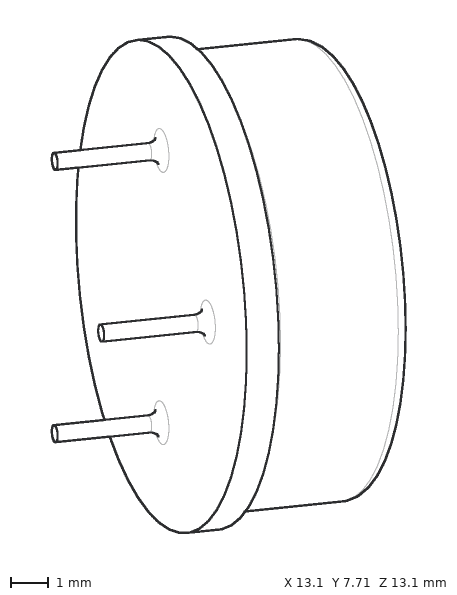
import cadquery as cq

flange_diameter = 13.08
flange_thickness = 0.9
can_diameter = 12.27
body_height = 4.71
can_edge_radius = 0.3
seam_radius = 0.2
pin_diameter = 0.46
pin_length = 3.0
meniscus_radius = 0.35
pin_offset_x = 3.56
pin_offset_z = 3.74

flange_face_y = (pin_length - body_height) / 2
rear_y = flange_face_y + body_height
flange_rear_y = flange_face_y + flange_thickness
tip_y = flange_face_y - pin_length

pin_positions = [(0, pin_offset_z), (pin_offset_x, 0), (0, -pin_offset_z)]


def make_body():
    """Flange and can, revolved as one profile with rounded can edges."""
    flange_radius = flange_diameter / 2
    can_radius = can_diameter / 2
    profile = (
        cq.Workplane("XY")
        .moveTo(0, flange_face_y)
        .lineTo(flange_radius, flange_face_y)
        .lineTo(flange_radius, flange_rear_y)
        .lineTo(can_radius + seam_radius, flange_rear_y)
        .radiusArc((can_radius, flange_rear_y + seam_radius), seam_radius)
        .lineTo(can_radius, rear_y - can_edge_radius)
        .radiusArc((can_radius - can_edge_radius, rear_y), -can_edge_radius)
        .lineTo(0, rear_y)
        .close()
    )
    return profile.revolve(360, (0, 0, 0), (0, 1, 0))


def make_pin(x, z):
    """Round pin with a concave glass meniscus where it leaves the flange."""
    pin_radius = pin_diameter / 2
    meniscus_outer_radius = pin_radius + meniscus_radius
    neck_y = flange_face_y - meniscus_radius
    profile = (
        cq.Workplane("XY")
        .moveTo(0, flange_rear_y)
        .lineTo(meniscus_outer_radius, flange_rear_y)
        .lineTo(meniscus_outer_radius, flange_face_y)
        .radiusArc((pin_radius, neck_y), -meniscus_radius)
        .lineTo(pin_radius, tip_y)
        .lineTo(0, tip_y)
        .close()
    )
    return profile.revolve(360, (0, 0, 0), (0, 1, 0)).translate((x, 0, z))


result = make_body()
for pin_x, pin_z in pin_positions:
    result = result.union(make_pin(pin_x, pin_z))